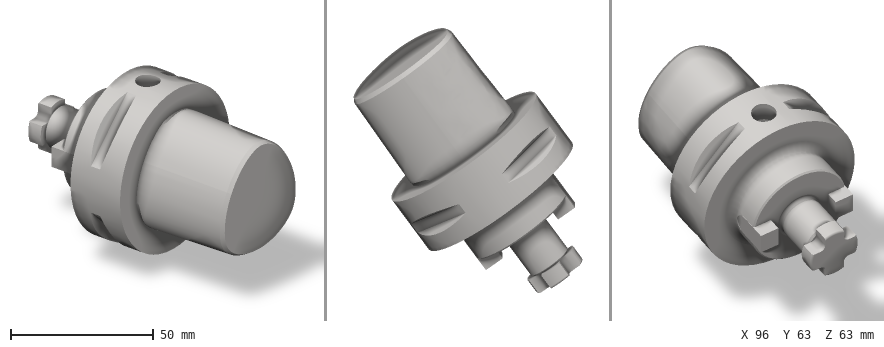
import cadquery as cq
import math


head_length = 6.0
head_diameter = 20.0
head_edge_radius = 0.82
arm_width = 7.9
notch_corner_radius = 2.0

spigot_diameter = 16.0
spigot_chamfer = 0.8
undercut_diameter = 15.6
undercut_start = 20.8
undercut_ramp_length = 0.7
undercut_arc_radius = 0.6
undercut_face_depth = 0.14
undercut_mouth_diameter = 18.0

hub_start = 22.8
hub_end = 33.0
hub_diameter = 39.3
hub_chamfer = 0.6
key_front = 18.0
key_width = 8.1
key_inner_offset = 12.0
key_outer_offset = 19.3

flange_start = 35.9
flange_end = 58.0
flange_diameter = 63.0
flange_radius = flange_diameter / 2
hub_fillet = flange_start - hub_end

slot_center = 46.0
slot_floor_width = 3.9
slot_floor_radius = 27.8
slot_wall_angle = 28
slot_count = 4
first_slot_angle = 45
dimple_diameter = 9.0
dimple_depth = 7.7
drill_point_angle = 118

lobe_count = 3
shank_mean_diameter = 44.2
lobe_height = 1.3
taper_start = 60.8
shank_end = 96
taper_ratio = 1 / 20
end_chamfer_length = 1.5
end_chamfer_depth = 0.9
points_per_lobe = 24

relief_diameter = 44.9
relief_center = 58.6
relief_section_radius = 1.2


def revolve_about_x(profile):
    return profile.close().revolve(360, (0, 0), (1, 0))


def make_turned_body():
    spigot_radius = spigot_diameter / 2
    undercut_radius = undercut_diameter / 2
    hub_radius = hub_diameter / 2
    arc_middle = undercut_arc_radius * math.sqrt(0.5)
    arc_end = hub_start + undercut_face_depth
    arc_start = arc_end - undercut_arc_radius
    profile = (
        cq.Workplane("XY")
        .moveTo(head_length, 0)
        .lineTo(head_length, spigot_radius - spigot_chamfer)
        .lineTo(head_length + spigot_chamfer, spigot_radius)
        .lineTo(undercut_start, spigot_radius)
        .lineTo(undercut_start + undercut_ramp_length, undercut_radius)
        .lineTo(arc_start, undercut_radius)
        .threePointArc(
            (arc_start + arc_middle, undercut_radius + undercut_arc_radius - arc_middle),
            (arc_end, undercut_radius + undercut_arc_radius),
        )
        .lineTo(hub_start, undercut_mouth_diameter / 2)
        .lineTo(hub_start, hub_radius - hub_chamfer)
        .lineTo(hub_start + hub_chamfer, hub_radius)
        .lineTo(hub_end, hub_radius)
        .radiusArc((flange_start, hub_radius + hub_fillet), -hub_fillet)
        .lineTo(flange_start, flange_radius)
        .lineTo(flange_end, flange_radius)
        .lineTo(flange_end, 0)
    )
    return revolve_about_x(profile)


def make_screw_head():
    disc = (
        cq.Workplane("YZ")
        .circle(head_diameter / 2)
        .extrude(head_length)
        .faces("<X")
        .edges()
        .fillet(head_edge_radius)
    )
    cross = (
        cq.Workplane("YZ")
        .rect(head_diameter, arm_width)
        .extrude(head_length)
        .union(cq.Workplane("YZ").rect(arm_width, head_diameter).extrude(head_length))
    )
    inner_corners = cq.selectors.BoxSelector(
        (0, -arm_width, -arm_width), (head_length, arm_width, arm_width)
    )
    cross = cross.edges("|X").edges(inner_corners).fillet(notch_corner_radius)
    return disc.intersect(cross)


def make_key_prism(side, outer_offset):
    """Bar on one side (+1 or -1 along Y) whose flange end is a full half round."""
    round_center = hub_end - key_width / 2
    half_width = key_width / 2
    return (
        cq.Workplane("XZ", origin=(0, side * key_inner_offset, 0))
        .moveTo(key_front, -half_width)
        .lineTo(round_center, -half_width)
        .threePointArc((hub_end, 0), (round_center, half_width))
        .lineTo(key_front, half_width)
        .close()
        .extrude(-side * (outer_offset - key_inner_offset))
    )


def make_gripper_slot(angle):
    """Flat-floored groove with flared walls, cut along a chord of the flange."""
    depth = flange_radius - slot_floor_radius
    half_floor = slot_floor_width / 2
    half_mouth = half_floor + depth * math.tan(math.radians(slot_wall_angle))
    return (
        cq.Workplane("XZ")
        .polyline(
            [
                (slot_center - half_floor, slot_floor_radius),
                (slot_center + half_floor, slot_floor_radius),
                (slot_center + half_mouth, flange_radius),
                (slot_center - half_mouth, flange_radius),
            ]
        )
        .close()
        .extrude(flange_radius, both=True)
        .rotate((0, 0, 0), (1, 0, 0), angle)
    )


def make_dimple():
    """Drilled blind hole from the top of the flange, ending in a drill point."""
    radius = dimple_diameter / 2
    floor = flange_radius - dimple_depth
    tip = floor - radius / math.tan(math.radians(drill_point_angle / 2))
    return (
        cq.Workplane("XZ", origin=(slot_center, 0, 0))
        .polyline([(0, tip), (radius, floor), (radius, flange_radius), (0, flange_radius)])
        .close()
        .revolve(360, (0, 0), (0, 1))
    )


def lobe_point(x, mean_diameter, angle):
    """Point of the lobed outline whose outward normal lies at the angle from +Z.

    The distance from the axis to the tangent line is mean radius + lobe height * cos(3 * angle).
    """
    reach = mean_diameter / 2 + lobe_height * math.cos(lobe_count * angle)
    shift = -lobe_count * lobe_height * math.sin(lobe_count * angle)
    y = reach * math.sin(angle) + shift * math.cos(angle)
    z = reach * math.cos(angle) - shift * math.sin(angle)
    return cq.Vector(x, y, z)


def lobed_wire(x, mean_diameter):
    lobe_span = 2 * math.pi / lobe_count
    edges = []
    for lobe in range(lobe_count):
        first = (lobe - 0.5) * lobe_span
        angles = [first + lobe_span * i / points_per_lobe for i in range(points_per_lobe + 1)]
        points = [lobe_point(x, mean_diameter, angle) for angle in angles]
        tangents = [cq.Vector(0, math.cos(a), -math.sin(a)) for a in (angles[0], angles[-1])]
        edges.append(cq.Edge.makeSpline(points, tangents=tangents))
    return cq.Wire.assembleEdges(edges)


def make_shank():
    chamfer_start = shank_end - end_chamfer_length
    chamfer_diameter = shank_mean_diameter - taper_ratio * (chamfer_start - taper_start)
    sections = [
        lobed_wire(flange_end, shank_mean_diameter),
        lobed_wire(taper_start, shank_mean_diameter),
        lobed_wire(chamfer_start, chamfer_diameter),
        lobed_wire(shank_end, chamfer_diameter - 2 * end_chamfer_depth),
    ]
    return cq.Workplane(cq.Solid.makeLoft(sections, True))


def make_relief_groove():
    """Ring of round section that trims only the lobe crests next to the flange."""
    ring_radius = relief_diameter / 2 + relief_section_radius
    return (
        cq.Workplane("XY")
        .moveTo(relief_center, ring_radius)
        .circle(relief_section_radius)
        .revolve(360, (0, 0), (1, 0))
    )


body = make_turned_body()
for side in (1, -1):
    body = body.cut(make_key_prism(side, hub_diameter / 2))
    body = body.union(make_key_prism(side, key_outer_offset))
for index in range(slot_count):
    body = body.cut(make_gripper_slot(first_slot_angle + index * 360 / slot_count))
body = body.cut(make_dimple())

shank = make_shank().cut(make_relief_groove())
result = body.union(make_screw_head()).union(shank)